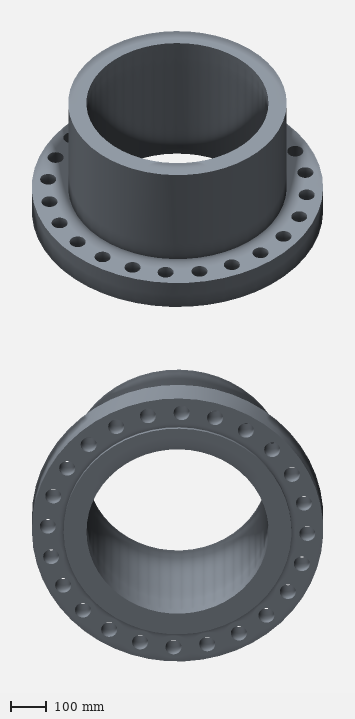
import cadquery as cq

flange_diameter = 812.5
flange_thickness = 88.5
face_diameter = 635.5
face_height = 10.0

total_height = 409.5
neck_diameter = 609.5
bore_diameter = 508.0
neck_height = total_height - flange_thickness - face_height

bolt_count = 24
bolt_circle_diameter = 724.0
bolt_hole_diameter = 45.0


def disc(diameter, height, base_z):
    """Solid cylinder on the Z axis, standing on base_z."""
    return cq.Workplane("XY", origin=(0, 0, base_z)).circle(diameter / 2).extrude(height)


def bolt_holes():
    """Cutters for the evenly spaced bolt holes, the first one on +X."""
    return (
        cq.Workplane("XY")
        .polarArray(bolt_circle_diameter / 2, 0, 360, bolt_count)
        .circle(bolt_hole_diameter / 2)
        .extrude(face_height + flange_thickness)
    )


raised_face = disc(face_diameter, face_height, 0)
flange = disc(flange_diameter, flange_thickness, face_height)
neck = disc(neck_diameter, neck_height, face_height + flange_thickness)
bore = disc(bore_diameter, total_height, 0)

result = raised_face.union(flange).union(neck).cut(bore).cut(bolt_holes())